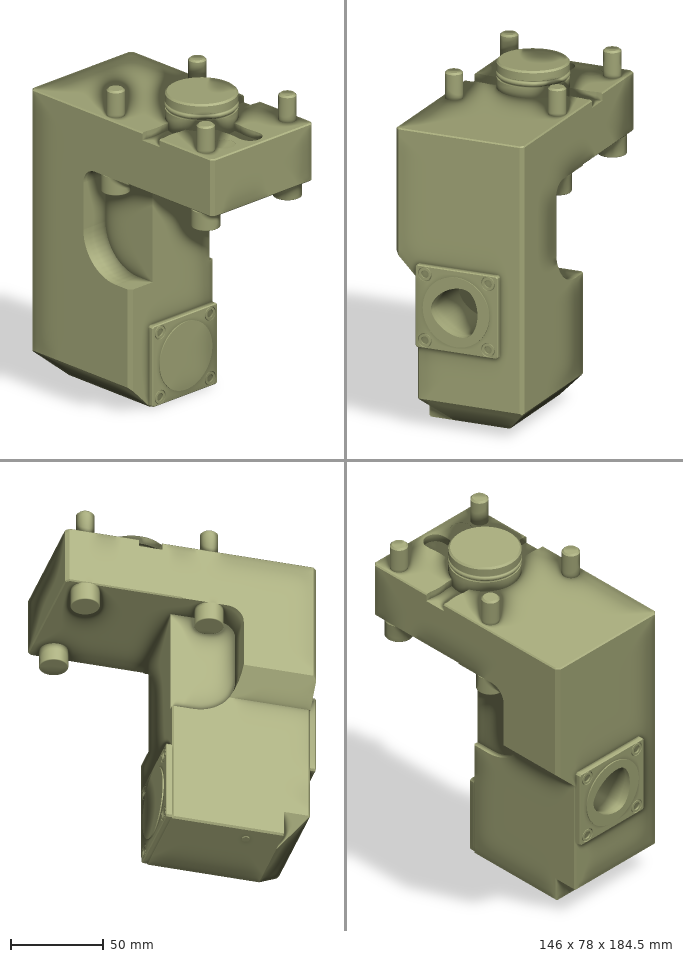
import cadquery as cq
import math


arm_length = 142.0
arm_width = 77.0
arm_thickness = 34.0
column_length = 78.0
column_height = 168.5
column_back_y = 25.0
back_slope_top_z = -71.0
foot_chamfer = 15.0
upright_edge_chamfer = 2.0
back_edge_chamfer = 1.0
rim_chamfer = 0.7
half_width = arm_width / 2

pocket_left_x = 41.5
pocket_depth = 16.8
pocket_bottom_z = -95.7
pocket_top_radius = 9.0
pocket_bottom_radius = 25.0

boss_x = 94.0
bolt_offset_x = 35.0
bolt_offset_y = 31.0
bolt_diameter = 9.99
bolt_tip_z = 15.5
bolt_tip_chamfer = 1.0
bolt_head_diameter = 15.98
bolt_head_height = 10.5
bolt_head_fillet = 0.5

boss_diameter = 39.96
boss_top_z = bolt_tip_z
boss_chamfer = 1.0
ring_groove_diameter = 35.16
ring_groove_width = 4.0
ring_outer_diameter = 40.56
ring_z = 8.0
ring_seat_overlap = 0.2
ring_section_radius = (ring_outer_diameter - ring_groove_diameter + 2 * ring_seat_overlap) / 4

slot_width = 13.3
slot_depth = 4.5
slot_reach = 44.5
slot_crown = 0.6
slot_crown_length = 12.0
slot_crown_centre = 29.0
plug_diameter = 12.39
plug_offset_x = 36.0
plug_y = -18.0
plug_recess = 0.1

plate_width = 49.5
plate_height = 47.5
plate_thickness = 3.3
plate_corner_chamfer = 1.0
plate_rim_chamfer = 0.5
disc_diameter = 39.9
disc_projection = 3.99
left_spindle_z = -99.3
right_spindle_z = -144.0
screw_pitch = 38.0
screw_recess_diameter = 8.2
screw_head_diameter = 7.19
screw_recess_depth = 1.0
screw_socket_diameter = 4.5

bore_mean_radius = 14.0
bore_lobe = 1.0
bore_depth = 34.0
bore_taper = 1 / 40
bore_points = 36

stud_x = 33.8
stud_y = 15.8
stud_diameter = 4.5
stud_height = 0.52


def box(x_range, y_range, z_range):
    size = [high - low for low, high in (x_range, y_range, z_range)]
    corner = (x_range[0], y_range[0], z_range[0])
    return cq.Workplane("XY").box(*size, centered=False).translate(corner)


def cylinder(diameter, x, y, bottom_z, top_z):
    base = cq.Workplane("XY", origin=(x, y, bottom_z))
    return base.circle(diameter / 2).extrude(top_z - bottom_z)


def corner_wedge(size, length):
    """Triangular bar along +X whose right angle is at the origin, towards +Y and +Z."""
    triangle = cq.Workplane("YZ").polyline([(0, 0), (size, 0), (0, size)]).close()
    return triangle.extrude(length)


def make_arm():
    arm = box((0, arm_length), (-half_width, half_width), (-arm_thickness, 0))
    return arm.edges("|Z").chamfer(upright_edge_chamfer).faces("<Z or >Z").chamfer(rim_chamfer)


def make_column():
    """Column with a stepped back and bevelled upright edges, its foot still square."""
    back_step = half_width - column_back_y
    back_slope_bottom_z = back_slope_top_z - back_step
    upper = box((0, column_length), (-half_width, half_width), (back_slope_bottom_z, 0))
    upper = upper.edges("|Z").chamfer(upright_edge_chamfer).faces(">Z").chamfer(rim_chamfer)
    slope = corner_wedge(back_step, column_length).mirror("XZ")
    upper = upper.cut(slope.translate((0, half_width, back_slope_bottom_z)))
    lower = box((0, column_length), (-half_width, column_back_y), (-column_height, back_slope_bottom_z))
    lower = lower.edges("|Z and <Y").chamfer(upright_edge_chamfer)
    lower = lower.edges("|Z and >Y").chamfer(back_edge_chamfer)
    return upper.union(lower)


def bevel_foot(column):
    """Cut 45-degree bevels along the left and front foot edges and at the back left corner."""
    left = corner_wedge(foot_chamfer, 2 * arm_width).rotate((0, 0, 0), (0, 0, 1), -90)
    left = left.translate((0, arm_width, -column_height))
    front = corner_wedge(foot_chamfer, column_length).translate((0, -half_width, -column_height))
    back = corner_wedge(foot_chamfer, foot_chamfer).mirror("XZ")
    back = back.translate((0, column_back_y, -column_height))
    back_edge = corner_wedge(back_edge_chamfer, column_length).mirror("XZ")
    back_edge = back_edge.translate((0, column_back_y, -column_height))
    return column.cut(left).cut(front).cut(back).cut(back_edge)


def make_pocket():
    """Front pocket, open towards the right and the front."""
    block = box(
        (pocket_left_x, arm_length),
        (-arm_width, pocket_depth - half_width),
        (pocket_bottom_z, -arm_thickness),
    )
    block = block.edges("|Y and <X and >Z").fillet(pocket_top_radius)
    return block.edges("|Y and <X and <Z").fillet(pocket_bottom_radius)


def make_slot():
    """Key slot running from the boss along +X, with a gently crowned middle on both walls."""
    end_x = slot_reach - slot_width / 2
    slot = box((0, end_x), (-slot_width / 2, slot_width / 2), (-slot_depth, 0))
    slot = slot.union(cylinder(slot_width, end_x, 0, -slot_depth, 0))
    start_x = slot_crown_centre - slot_crown_length / 2
    wall_y = slot_width / 2
    crown = (
        cq.Workplane("XY", origin=(0, 0, -slot_depth))
        .moveTo(start_x, wall_y)
        .threePointArc((slot_crown_centre, wall_y - slot_crown), (start_x + slot_crown_length, wall_y))
        .close()
        .extrude(slot_depth)
    )
    return slot.cut(crown).cut(crown.mirror("XZ"))


def cut_clamping_face(body):
    slot = make_slot()
    for angle in (-90, 0, 90):
        turned = slot.rotate((0, 0, 0), (0, 0, 1), angle)
        body = body.cut(turned.translate((boss_x, 0, 0)))
    return body.cut(cylinder(plug_diameter, boss_x + plug_offset_x, plug_y, -plug_recess, 0))


def make_boss():
    boss = cylinder(boss_diameter, boss_x, 0, -slot_depth, boss_top_z).faces(">Z").chamfer(boss_chamfer)
    groove_bottom_z = ring_z - ring_groove_width / 2
    groove_top_z = ring_z + ring_groove_width / 2
    groove = cylinder(boss_diameter, boss_x, 0, groove_bottom_z, groove_top_z)
    groove = groove.cut(cylinder(ring_groove_diameter, boss_x, 0, groove_bottom_z, groove_top_z))
    ring_centre_radius = ring_outer_diameter / 2 - ring_section_radius
    ring = (
        cq.Workplane("XZ")
        .center(ring_centre_radius, ring_z)
        .circle(ring_section_radius)
        .revolve(360, (-ring_centre_radius, 0), (-ring_centre_radius, 1))
        .translate((boss_x, 0, 0))
    )
    return boss.cut(groove).union(ring)


def make_bolt(x, y):
    shank = cylinder(bolt_diameter, x, y, -arm_thickness, bolt_tip_z)
    shank = shank.faces(">Z").chamfer(bolt_tip_chamfer)
    head = cylinder(bolt_head_diameter, x, y, -arm_thickness - bolt_head_height, -arm_thickness)
    return shank.union(head.faces("<Z").edges().fillet(bolt_head_fillet))


def make_plate():
    """Cover plate in the YZ plane, centred on the X axis and facing +X."""
    plate = cq.Workplane("YZ").rect(plate_width, plate_height).extrude(plate_thickness)
    plate = plate.edges("|X").chamfer(plate_corner_chamfer).faces(">X").chamfer(plate_rim_chamfer)
    plate = plate.union(cq.Workplane("YZ").circle(disc_diameter / 2).extrude(disc_projection))
    face = cq.Workplane("YZ", origin=(plate_thickness, 0, 0))
    screws = face.rect(screw_pitch, screw_pitch, forConstruction=True).vertices()
    gap = screws.circle(screw_recess_diameter / 2).circle(screw_head_diameter / 2)
    gap = gap.extrude(-screw_recess_depth)
    socket = screws.circle(screw_socket_diameter / 2).extrude(-screw_recess_depth)
    return plate.cut(gap).cut(socket)


def lobed_outline(mean_radius):
    """Points of a rounded triangle of constant width with one lobe towards +Y."""
    points = []
    for index in range(bore_points):
        angle = 2 * math.pi * index / bore_points
        support = mean_radius + bore_lobe * math.cos(3 * angle)
        slope = -3 * bore_lobe * math.sin(3 * angle)
        y = support * math.cos(angle) - slope * math.sin(angle)
        z = support * math.sin(angle) + slope * math.cos(angle)
        points.append((y, z))
    return points


def make_bore():
    """Tapered three-lobed bore entered from the left plate."""
    floor_radius = bore_mean_radius - bore_depth * bore_taper
    return (
        cq.Workplane("YZ", origin=(-disc_projection, 0, left_spindle_z))
        .spline(lobed_outline(bore_mean_radius), periodic=True)
        .close()
        .workplane(offset=bore_depth)
        .spline(lobed_outline(floor_radius), periodic=True)
        .close()
        .loft(combine=True)
    )


pocket = make_pocket()
body = bevel_foot(make_column()).cut(pocket).cut(pocket.mirror("XZ")).union(make_arm())
body = cut_clamping_face(body).union(make_boss())

for side_x in (-1, 1):
    for side_y in (-1, 1):
        body = body.union(make_bolt(boss_x + side_x * bolt_offset_x, side_y * bolt_offset_y))

plate = make_plate()
body = body.union(plate.mirror("YZ").translate((0, 0, left_spindle_z)))
body = body.union(plate.translate((column_length, 0, right_spindle_z)))
body = body.cut(make_bore())
stud = cylinder(stud_diameter, stud_x, stud_y, -column_height - stud_height, -column_height)

result = body.union(stud)